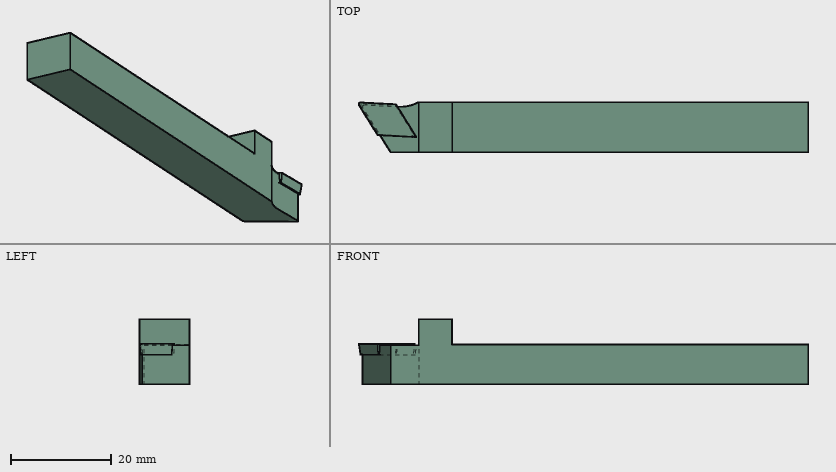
import cadquery as cq
import math

LENGTH = 89.65
WIDTH = 10.0
HEIGHT = 13.0
SHANK_HEIGHT = 8.0
SHELF_HEIGHT = 7.8

BLOCK_START = 11.9
BLOCK_LENGTH = 6.7

INSERT_ANGLE = 55.0
INSERT_TILT = 3.0
INSERT_WIDTH = 6.4
INSERT_TOP = 8.1
INSERT_THICKNESS = 2.15
INSERT_CLEARANCE = 5.0
NOSE_RADIUS = 0.4
NOSE_INSET = 0.06

HEAD_CORNER_X = 6.4
HEAD_BACK_DROP = 0.45
HEAD_NOSE_RADIUS = 0.4
RELIEF_START_X = 8.1

BACK_SLOPE = -math.tan(math.radians(INSERT_TILT))
FRONT_SLOPE = -math.tan(math.radians(INSERT_ANGLE + INSERT_TILT))


def sharp_tip():
    """Corner of the unrounded rhombus, placed so the rounded nose touches X = 0 just inside the back face."""
    half_angle = math.radians(INSERT_ANGLE / 2)
    bisector = math.radians(INSERT_ANGLE / 2 + INSERT_TILT)
    center_distance = NOSE_RADIUS / math.sin(half_angle)
    x = NOSE_RADIUS - center_distance * math.cos(bisector)
    y = WIDTH - NOSE_INSET - NOSE_RADIUS + center_distance * math.sin(bisector)
    return x, y


TIP_X, TIP_Y = sharp_tip()


def insert_corners():
    """Four corners of the rhombus, starting at the cutting tip."""
    side = INSERT_WIDTH / math.sin(math.radians(INSERT_ANGLE))
    back = math.radians(INSERT_TILT)
    front = math.radians(INSERT_TILT + INSERT_ANGLE)
    back_x, back_y = side * math.cos(back), -side * math.sin(back)
    front_x, front_y = side * math.cos(front), -side * math.sin(front)
    return [
        (TIP_X, TIP_Y),
        (TIP_X + back_x, TIP_Y + back_y),
        (TIP_X + back_x + front_x, TIP_Y + back_y + front_y),
        (TIP_X + front_x, TIP_Y + front_y),
    ]


def sharp_insert():
    """Rhombic block that narrows downward by the clearance angle."""
    return (
        cq.Workplane("XY", origin=(0, 0, INSERT_TOP))
        .polyline(insert_corners())
        .close()
        .extrude(-INSERT_THICKNESS, taper=INSERT_CLEARANCE)
    )


def make_insert():
    """Insert with its two acute corners rounded."""
    return sharp_insert().edges("not #Z").edges("<X or >X").fillet(NOSE_RADIUS)


def back_edge_y(x):
    """Y of the head's back edge, parallel to the insert's back edge."""
    return TIP_Y - HEAD_BACK_DROP + BACK_SLOPE * (x - TIP_X)


def holder_outline():
    """Plan outline: shank, slanted head and the concave relief behind the insert."""
    nose_x = (FRONT_SLOPE * HEAD_CORNER_X + back_edge_y(0)) / (FRONT_SLOPE - BACK_SLOPE)
    return (
        cq.Workplane("XY")
        .moveTo(LENGTH, 0)
        .lineTo(HEAD_CORNER_X, 0)
        .lineTo(nose_x, back_edge_y(nose_x))
        .lineTo(RELIEF_START_X, back_edge_y(RELIEF_START_X))
        .tangentArcPoint((BLOCK_START, WIDTH), relative=False)
        .lineTo(LENGTH, WIDTH)
        .close()
    )


def box_above(start_x, end_x, floor):
    """Space over the full width between two X positions, from the floor to the block's top."""
    return cq.Workplane("XY", origin=(start_x, 0, floor)).box(
        end_x - start_x, WIDTH, HEIGHT - floor, centered=False
    )


def make_holder():
    """Shank with its raised block, low head shelf and insert pocket."""
    body = holder_outline().extrude(HEIGHT)
    body = body.edges("|Z").edges("<X").fillet(HEAD_NOSE_RADIUS)
    body = body.cut(box_above(0, BLOCK_START, SHELF_HEIGHT))
    body = body.cut(box_above(BLOCK_START + BLOCK_LENGTH, LENGTH, SHANK_HEIGHT))
    return body.cut(sharp_insert())


holder = make_holder()
insert = make_insert()

result = cq.Compound.makeCompound([*holder.solids().vals(), *insert.solids().vals()])